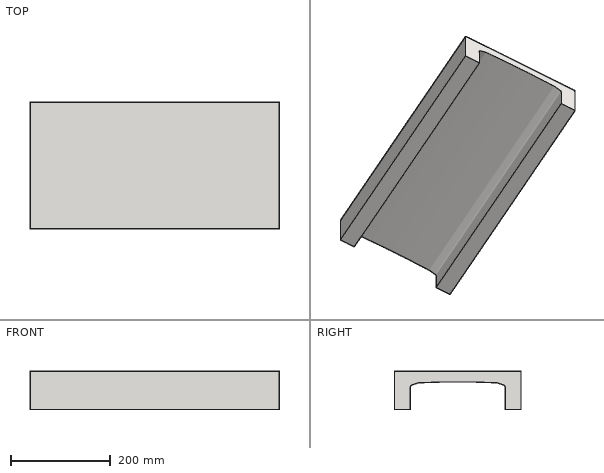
import cadquery as cq

length = 500.0
width = 255.0
height = 77.0

leg_thickness = 32.5
leg_inner_height = 48.0
haunch_width = 15.5
haunch_top = 53.5
crown_height = 55.5
corner_radius = 4.0

edge_chamfer = 1.0

half_cavity = width / 2 - leg_thickness
half_crown = half_cavity - haunch_width


def make_block():
    """Rectangular block resting on Z = 0 with its long top edges broken."""
    block = cq.Workplane("XY").box(length, width, height, centered=(True, True, False))
    return block.faces(">Z").edges("|X").chamfer(edge_chamfer)


def make_cavity():
    """Full-length void with sloped haunches and a shallow arched roof."""
    cavity = (
        cq.Workplane("YZ")
        .moveTo(-half_cavity, 0)
        .lineTo(-half_cavity, leg_inner_height)
        .lineTo(-half_crown, haunch_top)
        .threePointArc((0, crown_height), (half_crown, haunch_top))
        .lineTo(half_cavity, leg_inner_height)
        .lineTo(half_cavity, 0)
        .close()
        .extrude(length / 2, both=True)
    )
    return cavity.edges("|X and (<Y or >Y)").edges(">Z").fillet(corner_radius)


result = make_block().cut(make_cavity())